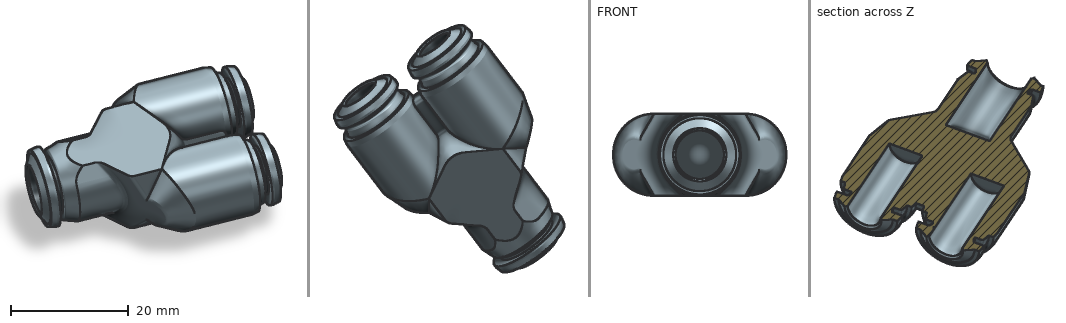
import cadquery as cq
import math

length = 40.8
body_height = 14.0
body_radius = body_height / 2
port_offset = 7.75
edge_radius = 1.0
end_radius = 0.4

lead_in = 0.4
bore_depth = 16.3
large_bore_radius = 4.12
large_neck_radius = 5.05
large_rim_radius = body_radius
large_step_radius = 6.2
small_bore_radius = 3.1
small_neck_radius = 4.0
small_rim_radius = 6.25
small_step_radius = 5.15
collet_length = 4.9

stem_end = 3.67
stem_taper_start = 6.08
stem_end_radius = 6.2
stem_top = 16.3

barrel_bottom = 10.2
barrel_top = 34.7
ring_top = 35.82
ring_top_radius = 6.77
cap_radius = 5.9
cap_end = 37.25
cap_end_radius = 5.5

side_angle = 60.0
shoulder_angle = 40.0
shoulder_apex = 8.4
crotch_angle = 30.0
crotch_draft = 30.0
crotch_radius = 4.1
crotch_corner = 20.4

nose_apex_x = 11.95
nose_apex_y = 14.8
nose_tilt = 29.1
nose_half_angle = 45.5
nose_height = 40.8

web_half_thickness = 1.9

far = 24.5
tolerance = 0.005
edge_samples = (0, 0.3, 0.7, 1)


def revolve_about_y(outline):
    return outline.close().revolve(360, (0, 0, 0), (0, 1, 0))


def collet(bore_radius, neck_radius, rim_radius, step_radius):
    """Solid release collet along +Y with its face at Y = 0."""
    face_cone_length = 1.0
    rim_taper = 0.25
    rim_edge_radius = rim_radius - rim_taper
    rim_straight = 2.1
    rim_back = 2.6
    flare_width = 0.3
    flare_length = 0.45
    outline = (
        cq.Workplane("XY")
        .lineTo(bore_radius + lead_in, 0)
        .lineTo(step_radius, face_cone_length)
        .lineTo(rim_edge_radius, face_cone_length)
        .lineTo(rim_radius, rim_straight)
        .lineTo(rim_radius, rim_back)
        .lineTo(neck_radius + flare_width, rim_back)
        .lineTo(neck_radius, rim_back + flare_length)
        .lineTo(neck_radius, collet_length)
        .lineTo(0, collet_length)
    )
    return revolve_about_y(outline)


def bore(radius):
    """Blind tube bore along +Y with a conical lead-in at Y = 0."""
    outline = (
        cq.Workplane("XY")
        .lineTo(radius + lead_in, 0)
        .lineTo(radius, lead_in)
        .lineTo(radius, bore_depth)
        .lineTo(0, bore_depth)
    )
    return revolve_about_y(outline)


def at_barrel(shape, side):
    """Turn a stem-end shape round and set it on the barrel at the given side."""
    return shape.rotate((0, 0, 0), (0, 0, 1), 180).translate((side * port_offset, length, 0))


def shoulder_wedge():
    """Everything above the two sloping shoulder planes."""
    rise = far * math.tan(math.radians(shoulder_angle))
    return (
        cq.Workplane("XY")
        .moveTo(0, shoulder_apex)
        .lineTo(far, shoulder_apex + rise)
        .lineTo(far, 2 * length)
        .lineTo(-far, 2 * length)
        .lineTo(-far, shoulder_apex + rise)
        .close()
        .extrude(far, both=True)
    )


def on_shoulder(point):
    height = shoulder_apex + abs(point.x) * math.tan(math.radians(shoulder_angle))
    return abs(point.y - height) < tolerance


def round_shoulder(solid):
    """Round the edges on the shoulder planes, except at the flat top and bottom and the middle plane."""
    edges = [
        e for e in solid.edges().vals()
        if all(on_shoulder(e.positionAt(t)) for t in edge_samples)
        and abs(e.positionAt(0.5).z) < body_radius - tolerance
        and abs(e.positionAt(0.5).x) > tolerance
    ]
    return solid.newObject(edges).fillet(edge_radius)


def crotch_block():
    """Block ending in a rounded, drafted V toward +Y, widest at mid-height."""
    slope = math.radians(crotch_angle)
    apex = crotch_corner + port_offset * math.tan(slope)
    tangent_x = crotch_radius * math.sin(slope)
    tangent_y = apex - tangent_x * math.tan(slope)
    crown_y = apex - crotch_radius * (1 / math.cos(slope) - 1)
    half = (
        cq.Workplane("XY", origin=(0, 0, body_radius))
        .moveTo(-far, 0)
        .lineTo(-far, apex - far * math.tan(slope))
        .lineTo(-tangent_x, tangent_y)
        .threePointArc((0, crown_y), (tangent_x, tangent_y))
        .lineTo(far, apex - far * math.tan(slope))
        .lineTo(far, 0)
        .close()
        .extrude(-body_radius, taper=-crotch_draft)
    )
    return half.union(half.mirror("XY"))


def core():
    """Hexagonal middle of the body between the shoulders and the crotch."""
    tip = port_offset + body_radius / math.tan(math.radians(side_angle))
    hexagon = (
        cq.Workplane("XZ")
        .polyline([
            (port_offset, body_radius), (tip, 0), (port_offset, -body_radius),
            (-port_offset, -body_radius), (-tip, 0), (-port_offset, body_radius),
        ])
        .close()
        .extrude(-length)
    )
    return round_shoulder(hexagon.intersect(shoulder_wedge())).intersect(crotch_block())


def nose_cone():
    """Cone opening toward +Y around the lower end of the left barrel."""
    radius = nose_height * math.tan(math.radians(nose_half_angle))
    cone = revolve_about_y(cq.Workplane("XY").lineTo(radius, nose_height).lineTo(0, nose_height))
    return cone.rotate((0, 0, 0), (0, 0, 1), -nose_tilt).translate((-nose_apex_x, nose_apex_y, 0))


def barrel():
    """Left barrel, nosed by a leaning cone and trimmed by the shoulder."""
    outline = (
        cq.Workplane("XY")
        .moveTo(0, barrel_bottom)
        .lineTo(body_radius, barrel_bottom)
        .lineTo(body_radius, barrel_top)
        .lineTo(ring_top_radius, ring_top)
        .lineTo(cap_radius, ring_top)
        .lineTo(cap_end_radius, cap_end)
        .lineTo(0, cap_end)
    )
    solid = revolve_about_y(outline).faces(">Y").edges().fillet(end_radius)
    solid = solid.translate((-port_offset, 0, 0))
    return round_shoulder(solid.intersect(nose_cone()).intersect(shoulder_wedge()))


def add_web(solid):
    """Add the thin wall joining the barrels, rounded at its end and blended into the crotch."""
    wall = (
        cq.Workplane("XY")
        .box(2 * port_offset, barrel_top - crotch_corner, 2 * web_half_thickness)
        .translate((0, (barrel_top + crotch_corner) / 2, 0))
        .edges(">Y and |X")
        .fillet(edge_radius)
    )
    root = cq.selectors.BoxSelector(
        (-port_offset / 2, crotch_corner, -body_radius),
        (port_offset / 2, barrel_top - 2 * edge_radius, body_radius),
    )
    joined = solid.union(wall)
    edges = [
        e for e in joined.edges(root).vals()
        if all(abs(abs(e.positionAt(t).z) - web_half_thickness) < tolerance for t in edge_samples)
    ]
    return joined.newObject(edges).fillet(edge_radius)


def stem():
    """Round stem with 45 degree flats out to the top and bottom, tapered at its end."""
    tangent = body_radius * math.sqrt(0.5)
    flat_half_width = body_radius * (math.sqrt(2) - 1)
    solid = cq.Workplane("XZ").circle(body_radius).extrude(-stem_top)
    flats = (
        cq.Workplane("XZ")
        .polyline([
            (flat_half_width, body_radius), (tangent, tangent), (tangent, -tangent),
            (flat_half_width, -body_radius), (-flat_half_width, -body_radius),
            (-tangent, -tangent), (-tangent, tangent), (-flat_half_width, body_radius),
        ])
        .close()
        .extrude(-stem_top)
    )
    taper = (body_radius - stem_end_radius) / (stem_taper_start - stem_end)
    envelope = revolve_about_y(
        cq.Workplane("XY")
        .moveTo(0, stem_end)
        .lineTo(stem_end_radius, stem_end)
        .lineTo(stem_end_radius + taper * (stem_top - stem_end), stem_top)
        .lineTo(0, stem_top)
    )
    envelope = envelope.faces("<Y").edges().fillet(end_radius)
    return solid.union(flats).intersect(envelope)


left_barrel = barrel()
body = add_web(round_shoulder(core().union(stem())))
body = body.union(left_barrel).union(left_barrel.mirror("YZ"))

large_collet = collet(large_bore_radius, large_neck_radius, large_rim_radius, large_step_radius)
small_collet = collet(small_bore_radius, small_neck_radius, small_rim_radius, small_step_radius)
result = body.union(large_collet).cut(bore(large_bore_radius))
for side in (-1, 1):
    result = result.union(at_barrel(small_collet, side))
    result = result.cut(at_barrel(bore(small_bore_radius), side))